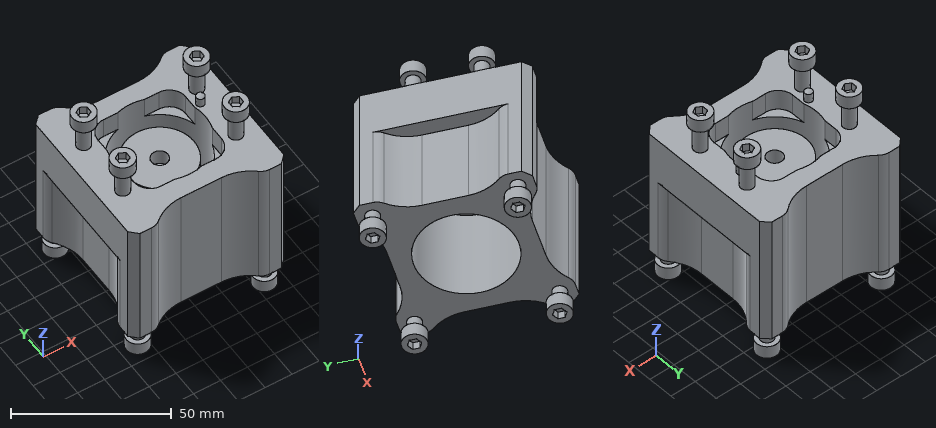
import cadquery as cq
import math

block_size = 58.0
block_height = 50.0
corner_chamfer = 2.75

recess_depth = 5.35
recess_flat_half = 7.5
recess_inner_radius = 17.0
recess_lip_radius = 5.0
side_recess_height = 32.0

pocket_size = 32.5
pocket_corner_radius = 6.0
pocket_depth = 8.0
bore_diameter = 34.0

screw_diameter = 5.0
head_diameter = 8.5
head_height = 5.0
socket_across_flats = 4.0
socket_depth = 3.0
top_screw_x = 21.0
top_screw_y = 11.15
top_screw_exposed_shank = 10.5
bottom_screw_offset = 23.5
bottom_screw_exposed_shank = 5.0

pin_diameter = 3.0
pin_straight_height = 3.5
pin_dome_height = 0.5
pin_x = 18.65
pin_y = 5.5

disc_diameter = 25.4
disc_thickness = 10.0
disc_top_depth = 9.0
disc_hole_diameter = 6.0
disc_hole_depth = 6.0


def side_recess(height):
    """Recess in the -Y side: a flat joined to the block face by two tangent arcs at each end."""
    face = -block_size / 2
    floor = face + recess_depth
    angle = math.acos(1 - recess_depth / (recess_inner_radius + recess_lip_radius))

    def inner_arc_point(turn):
        x = recess_flat_half + recess_inner_radius * math.sin(turn)
        return x, floor - recess_inner_radius * (1 - math.cos(turn))

    lip_end_x = recess_flat_half + (recess_inner_radius + recess_lip_radius) * math.sin(angle)

    def lip_arc_point(turn):
        x = lip_end_x - recess_lip_radius * math.sin(turn)
        return x, face + recess_lip_radius * (1 - math.cos(turn))

    def mirrored(point):
        return -point[0], point[1]

    inner_mid = inner_arc_point(angle / 2)
    tangent_point = inner_arc_point(angle)
    lip_mid = lip_arc_point(angle / 2)
    return (
        cq.Workplane("XY")
        .moveTo(-recess_flat_half, floor)
        .lineTo(recess_flat_half, floor)
        .threePointArc(inner_mid, tangent_point)
        .threePointArc(lip_mid, (lip_end_x, face))
        .lineTo(-lip_end_x, face)
        .threePointArc(mirrored(lip_mid), mirrored(tangent_point))
        .threePointArc(mirrored(inner_mid), (-recess_flat_half, floor))
        .close()
        .extrude(height)
    )


def make_block():
    """Chamfered block with recessed sides, a round bore and a rounded square pocket on top."""
    block = (
        cq.Workplane("XY")
        .rect(block_size, block_size)
        .extrude(block_height)
        .edges("|Z")
        .chamfer(corner_chamfer)
    )
    recess_heights = {0: block_height, 90: side_recess_height, 180: block_height, 270: side_recess_height}
    for turn, height in recess_heights.items():
        block = block.cut(side_recess(height).rotate((0, 0, 0), (0, 0, 1), turn))

    bore = cq.Workplane("XY").circle(bore_diameter / 2).extrude(block_height)
    pocket = (
        cq.Workplane("XY", origin=(0, 0, block_height - pocket_depth))
        .rect(pocket_size, pocket_size)
        .extrude(pocket_depth)
        .edges("|Z")
        .fillet(pocket_corner_radius)
    )
    return block.cut(bore).cut(pocket)


def exposed_screw(shank_length):
    """Upright socket head screw, from the block surface at Z = 0 to the top of its head."""
    socket_across_corners = socket_across_flats / math.cos(math.pi / 6)
    shank = cq.Workplane("XY").circle(screw_diameter / 2).extrude(shank_length)
    head = (
        cq.Workplane("XY", origin=(0, 0, shank_length))
        .circle(head_diameter / 2)
        .extrude(head_height)
    )
    socket = (
        cq.Workplane("XY", origin=(0, 0, shank_length + head_height))
        .polygon(6, socket_across_corners)
        .extrude(-socket_depth)
        .rotate((0, 0, 0), (0, 0, 1), 90)
    )
    return shank.union(head).cut(socket)


def exposed_pin():
    """Dowel pin with a shallow domed end, standing on Z = 0."""
    pin_radius = pin_diameter / 2
    dome_radius = (pin_radius**2 + pin_dome_height**2) / (2 * pin_dome_height)
    dome_centre_z = pin_straight_height + pin_dome_height - dome_radius
    half_angle = math.asin(pin_radius / dome_radius) / 2
    dome_mid = (dome_radius * math.sin(half_angle), dome_centre_z + dome_radius * math.cos(half_angle))
    return (
        cq.Workplane("XZ")
        .lineTo(pin_radius, 0)
        .lineTo(pin_radius, pin_straight_height)
        .threePointArc(dome_mid, (0, pin_straight_height + pin_dome_height))
        .close()
        .revolve(360, (0, 0, 0), (0, 1, 0))
    )


def make_housing():
    """Block with the screws and dowel pins that are joined to it."""
    housing = make_block()
    top_screw = exposed_screw(top_screw_exposed_shank)
    bottom_screw = exposed_screw(bottom_screw_exposed_shank).rotate((0, 0, 0), (1, 0, 0), 180)
    for x_side in (-1, 1):
        for y_side in (-1, 1):
            top_place = (x_side * top_screw_x, y_side * top_screw_y, block_height)
            bottom_place = (x_side * bottom_screw_offset, y_side * bottom_screw_offset, 0)
            housing = housing.union(top_screw.translate(top_place))
            housing = housing.union(bottom_screw.translate(bottom_place))
    for side in (-1, 1):
        housing = housing.union(exposed_pin().translate((side * pin_x, side * pin_y, block_height)))
    return housing


def make_disc():
    """Round insert with a blind hole in the middle of its top face."""
    disc_top = block_height - disc_top_depth
    disc = (
        cq.Workplane("XY", origin=(0, 0, disc_top - disc_thickness))
        .circle(disc_diameter / 2)
        .extrude(disc_thickness)
    )
    hole = (
        cq.Workplane("XY", origin=(0, 0, disc_top))
        .circle(disc_hole_diameter / 2)
        .extrude(-disc_hole_depth)
    )
    return disc.cut(hole)


housing = make_housing()
disc = make_disc()
result = cq.Compound.makeCompound([housing.val(), disc.val()])